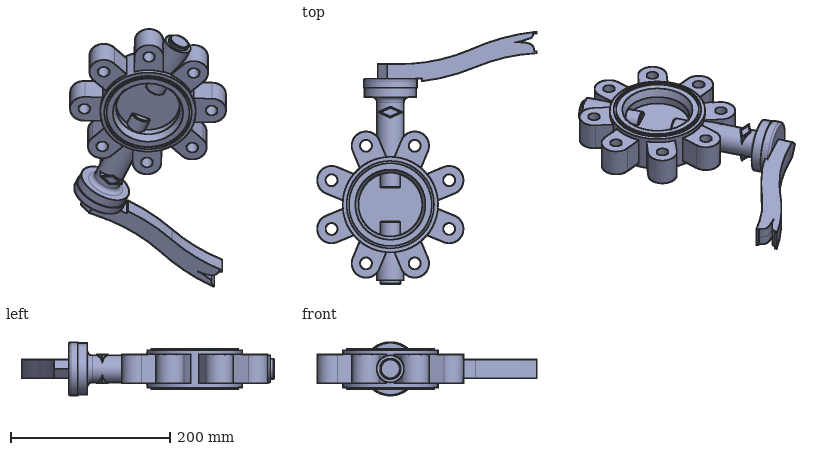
import cadquery as cq
import math


ring_radius = 60.0
ring_half_height = 23.5
face_radius = 55.0
face_half_height = 25.5
seat_radius = 40.0
seat_half_height = 14.0
face_recess_radius = 52.0
face_recess_depth = 1.0
mouth_radius = 44.0

lug_count = 8
bolt_circle_radius = 80.0
lug_radius = 18.0
lug_half_height = 18.0
bolt_hole_radius = 7.3

neck_radius = 17.0
neck_bottom_y = -95.2
flange_bottom_y = 134.8
flange_radius = 32.7
neck_fillet = 6.0

pad_center_y = 116.0
pad_half_length = 15.2
pad_half_width = 7.0
pad_scale_inside_rim = 0.8
pad_recess_depth = 0.5

shaft_radius = 13.0
shaft_bottom_y = -100.0
shaft_chamfer = 1.3
stub_inner_y = 21.0
disc_half_thickness = 3.8

cap_bottom_y = 147.0
cap_top_y = 158.3
cap_radius = 33.5
cap_fillet = 3.0

lever_half_thickness = 12.0
lever_nose_x = -16.0
lever_flat_top_y = 176.7
lever_flat_top_end_x = 6.5
lever_heel_x = 39.5
lever_heel_y = 154.8
lever_tip_x = 184.0
lever_tip_bottom_y = 190.0
lever_tip_top_y = 217.3
top_sag = (57.0, 181.0)
top_bend = (100.0, 194.5)
top_crown = (141.0, 209.5)
bottom_sag = (74.5, 161.5)
bottom_bend = (107.0, 172.5)
bottom_crown = (144.3, 184.5)
fork_cusp = (156.0, 204.0)
fork_upper_middle = (172.0, 207.5)
fork_upper_end = (179.5, 214.7)
fork_lower_end = (180.8, 193.0)


def y_cylinder(radius, y_start, y_end):
    """Cylinder on the Y axis between two Y positions."""
    plane = cq.Plane(origin=(0, y_start, 0), xDir=(1, 0, 0), normal=(0, 1, 0))
    return cq.Workplane(plane).circle(radius).extrude(y_end - y_start)


def z_cylinder(radius, half_height):
    """Cylinder on the Z axis, centred on the origin."""
    return cq.Workplane("XY").circle(radius).extrude(half_height, both=True)


def make_lugs():
    lug = (
        cq.Workplane("XY")
        .rect(bolt_circle_radius, 2 * lug_radius)
        .extrude(lug_half_height, both=True)
        .translate((bolt_circle_radius / 2, 0, 0))
        .union(z_cylinder(lug_radius, lug_half_height).translate((bolt_circle_radius, 0, 0)))
        .cut(z_cylinder(bolt_hole_radius, lug_half_height).translate((bolt_circle_radius, 0, 0)))
    )
    pitch = 360 / lug_count
    lugs = cq.Workplane("XY")
    for i in range(lug_count):
        lugs = lugs.add(lug.rotate((0, 0, 0), (0, 0, 1), (i + 0.5) * pitch))
    return lugs.combine()


def make_neck():
    """Neck along the shaft, flaring with a concave fillet into its top flange."""
    diagonal = neck_fillet * math.sqrt(0.5)
    fillet_radius_end = neck_radius + neck_fillet
    fillet_bottom_y = flange_bottom_y - neck_fillet
    return (
        cq.Workplane("XY")
        .moveTo(0, neck_bottom_y)
        .lineTo(neck_radius, neck_bottom_y)
        .lineTo(neck_radius, fillet_bottom_y)
        .threePointArc(
            (fillet_radius_end - diagonal, fillet_bottom_y + diagonal),
            (fillet_radius_end, flange_bottom_y),
        )
        .lineTo(flange_radius, flange_bottom_y)
        .lineTo(flange_radius, cap_bottom_y)
        .lineTo(0, cap_bottom_y)
        .close()
        .revolve(360, (0, 0, 0), (0, 1, 0))
    )


def diamond(scale, half_height):
    """Diamond prism through the neck, centred on the pads."""
    half_length = scale * pad_half_length
    half_width = scale * pad_half_width
    return (
        cq.Workplane("XY")
        .moveTo(-half_length, pad_center_y)
        .lineTo(0, pad_center_y - half_width)
        .lineTo(half_length, pad_center_y)
        .lineTo(0, pad_center_y + half_width)
        .close()
        .extrude(half_height, both=True)
    )


def make_pads():
    """Diamond pads on both sides of the neck, with a raised rim flush with the lug faces."""
    outer = diamond(1, lug_half_height)
    inner = diamond(pad_scale_inside_rim, lug_half_height)
    floor = diamond(pad_scale_inside_rim, lug_half_height - pad_recess_depth)
    return outer.cut(inner).union(floor)


def make_bore():
    """Cylindrical seat that widens to a conical mouth and a shallow recess at each face."""
    recess_floor_z = face_half_height - face_recess_depth
    return (
        cq.Workplane("XZ")
        .moveTo(0, -face_half_height)
        .lineTo(face_recess_radius, -face_half_height)
        .lineTo(face_recess_radius, -recess_floor_z)
        .lineTo(mouth_radius, -recess_floor_z)
        .lineTo(seat_radius, -seat_half_height)
        .lineTo(seat_radius, seat_half_height)
        .lineTo(mouth_radius, recess_floor_z)
        .lineTo(face_recess_radius, recess_floor_z)
        .lineTo(face_recess_radius, face_half_height)
        .lineTo(0, face_half_height)
        .close()
        .revolve(360, (0, 0, 0), (0, 1, 0))
    )


def make_housing():
    return (
        z_cylinder(ring_radius, ring_half_height)
        .union(z_cylinder(face_radius, face_half_height))
        .union(make_lugs())
        .union(make_neck())
        .union(make_pads())
        .cut(make_bore())
        .cut(y_cylinder(shaft_radius, neck_bottom_y, cap_bottom_y))
    )


def make_shaft():
    """Upper and lower stub, each chamfered where it ends."""
    upper = y_cylinder(shaft_radius, stub_inner_y, cap_bottom_y).faces("<Y").chamfer(shaft_chamfer)
    lower = y_cylinder(shaft_radius, shaft_bottom_y, -stub_inner_y).faces("<Y or >Y").chamfer(shaft_chamfer)
    return upper, lower


def make_lever():
    """Wavy handle with a 45 degree V nose and a forked tip."""
    handle = (
        cq.Workplane("XY")
        .moveTo(lever_nose_x, cap_top_y)
        .lineTo(lever_heel_x, cap_top_y)
        .lineTo(lever_heel_x, lever_heel_y)
        .threePointArc(bottom_sag, bottom_bend)
        .threePointArc(bottom_crown, (lever_tip_x, lever_tip_bottom_y))
        .lineTo(lever_tip_x, fork_lower_end[1])
        .lineTo(*fork_lower_end)
        .spline([fork_cusp], tangents=[(0, 1), (-1, 0)], includeCurrent=True)
        .spline([fork_upper_middle, fork_upper_end], tangents=[(1, 0), (0, 1)], includeCurrent=True)
        .lineTo(lever_tip_x, fork_upper_end[1])
        .lineTo(lever_tip_x, lever_tip_top_y)
        .threePointArc(top_crown, top_bend)
        .threePointArc(top_sag, (lever_flat_top_end_x, lever_flat_top_y))
        .lineTo(lever_nose_x, lever_flat_top_y)
        .close()
        .extrude(lever_half_thickness, both=True)
    )
    shoulder_x = lever_nose_x + lever_half_thickness
    nose = (
        cq.Workplane("XZ", origin=(0, lever_tip_top_y, 0))
        .moveTo(lever_nose_x, 0)
        .lineTo(shoulder_x, lever_half_thickness)
        .lineTo(lever_tip_x, lever_half_thickness)
        .lineTo(lever_tip_x, -lever_half_thickness)
        .lineTo(shoulder_x, -lever_half_thickness)
        .close()
        .extrude(lever_tip_top_y)
    )
    return handle.intersect(nose)


def make_rotor():
    """Disc, shaft, cap and lever, which turn together."""
    upper_shaft, lower_shaft = make_shaft()
    cap = y_cylinder(cap_radius, cap_bottom_y, cap_top_y).faces(">Y").edges().fillet(cap_fillet)
    return (
        z_cylinder(seat_radius, disc_half_thickness)
        .union(upper_shaft)
        .union(lower_shaft)
        .union(cap)
        .union(make_lever())
    )


housing = make_housing()
rotor = make_rotor()
result = cq.Compound.makeCompound([housing.solids().val(), rotor.solids().val()])